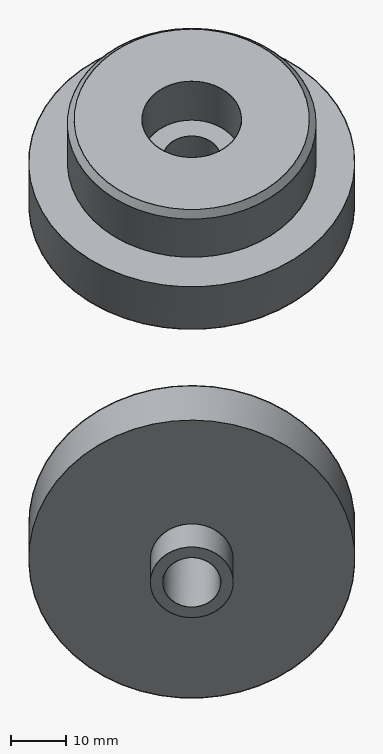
import cadquery as cq

flange_diameter = 59.0
flange_height = 12.0
boss_diameter = 45.0
boss_height = 12.0
boss_chamfer_width = 1.25
boss_chamfer_height = 1.25
spigot_diameter = 15.0
spigot_height = 8.0
bore_diameter = 10.5
counterbore_diameter = 18.0
counterbore_depth = 11.0

flange_top = spigot_height + flange_height
total_height = flange_top + boss_height


def cylinder(diameter, bottom, height):
    """Upright cylinder centred on the Z axis."""
    return cq.Workplane("XY").workplane(offset=bottom).circle(diameter / 2).extrude(height)


boss = cylinder(boss_diameter, flange_top, boss_height)
boss = boss.faces(">Z").edges().chamfer(boss_chamfer_height, boss_chamfer_width)
flange = cylinder(flange_diameter, spigot_height, flange_height)
spigot = cylinder(spigot_diameter, 0, spigot_height)
body = spigot.union(flange).union(boss)

bore = cylinder(bore_diameter, 0, total_height)
counterbore = cylinder(counterbore_diameter, total_height - counterbore_depth, counterbore_depth)
result = body.cut(bore).cut(counterbore)